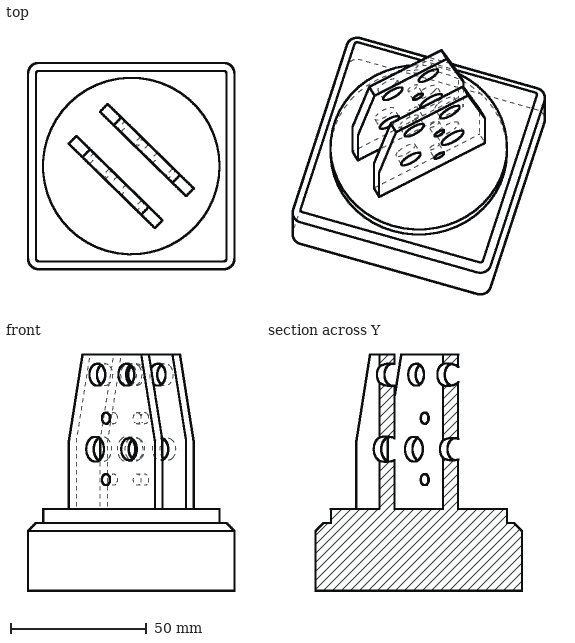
import cadquery as cq

base_side = 76.2
base_height = 25.0
corner_radius = 4.0
base_chamfer = 3.0

disc_diameter = 65.2
disc_thickness = 5.15
disc_top = base_height + disc_thickness

total_height = 87.2
plate_width = 44.5
plate_top_width = 30.35
plate_thickness = 4.0
plate_spacing = 16.5
shoulder_height = 55.2
plate_turn = -44.4

top_hole_offset = 7.5
top_hole_height = 79.7
middle_hole_height = 52.25
left_middle_offset = -8.6
right_middle_offset = 8.9
pin_offset = -3.05
pin_heights = (41.0, 63.7)
standard_hole_diameter = 8.1
large_hole_diameter = 9.2
pin_diameter = 4.1


def make_base():
    block = cq.Workplane("XY").rect(base_side, base_side).extrude(base_height)
    return block.edges("|Z").fillet(corner_radius).faces(">Z").edges().chamfer(base_chamfer)


def make_disc():
    return cq.Workplane("XY").workplane(offset=base_height).circle(disc_diameter / 2).extrude(disc_thickness)


def cut_holes(plate, points, diameter):
    cutters = (
        cq.Workplane("XZ", origin=(0, plate_thickness, 0))
        .pushPoints(points)
        .circle(diameter / 2)
        .extrude(2 * plate_thickness)
    )
    return plate.cut(cutters)


def make_plate():
    """Upright plate lying in the XZ plane, centred on its thickness."""
    plate = (
        cq.Workplane("XZ")
        .moveTo(-plate_width / 2, disc_top)
        .lineTo(plate_width / 2, disc_top)
        .lineTo(plate_width / 2, shoulder_height)
        .lineTo(plate_top_width / 2, total_height)
        .lineTo(-plate_top_width / 2, total_height)
        .lineTo(-plate_width / 2, shoulder_height)
        .close()
        .extrude(plate_thickness / 2, both=True)
    )
    standard_holes = [
        (-top_hole_offset, top_hole_height),
        (top_hole_offset, top_hole_height),
        (right_middle_offset, middle_hole_height),
    ]
    pin_holes = [(pin_offset, height) for height in pin_heights]
    plate = cut_holes(plate, standard_holes, standard_hole_diameter)
    plate = cut_holes(plate, [(left_middle_offset, middle_hole_height)], large_hole_diameter)
    return cut_holes(plate, pin_holes, pin_diameter)


result = make_base().union(make_disc())
for side in (-1, 1):
    shifted_plate = make_plate().translate((0, side * plate_spacing / 2, 0))
    result = result.union(shifted_plate.rotate((0, 0, 0), (0, 0, 1), plate_turn))